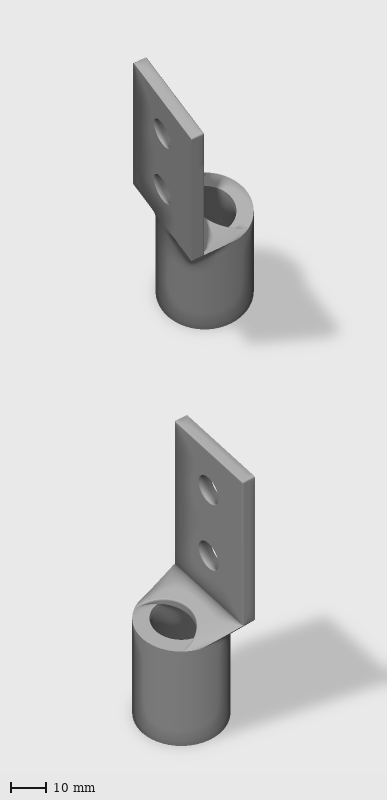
import cadquery as cq
import math

total_height = 96.0
barrel_diameter = 28.0
barrel_height = 36.7
bore_diameter = 18.1

tongue_width = 32.5
tongue_thickness = 4.3
tongue_bottom = 40.3
edge_radius = 0.5

bolt_hole_diameter = 9.5
bolt_spacing = 25.4
lower_bolt_height = 55.6

scallop_radius = 11.2
scallop_center_y = 8.6

barrel_radius = barrel_diameter / 2
front_y = -barrel_radius
back_y = front_y + tongue_thickness
half_width = tongue_width / 2


def barrel_point(angle_from_back):
    """Point on the barrel outline, angle in degrees from +Y towards -X."""
    angle = math.radians(angle_from_back)
    return (-barrel_radius * math.sin(angle), barrel_radius * math.cos(angle))


def mirrored(point):
    return (-point[0], point[1])


def make_tongue():
    """Flat plate standing on the transition."""
    return cq.Workplane("XY", origin=(0, front_y, tongue_bottom)).box(
        tongue_width, tongue_thickness, total_height - tongue_bottom, centered=(True, False, False)
    )


def make_transition():
    """Ruled solid from the barrel circle up to the rectangular end of the tongue."""
    perimeter = 2 * (tongue_width + tongue_thickness)
    back_angle = 360 * half_width / perimeter
    front_angle = 180 - back_angle
    back_left = barrel_point(back_angle)
    front_left = barrel_point(front_angle)
    circle = (
        cq.Workplane("XY", origin=(0, 0, barrel_height))
        .moveTo(*back_left)
        .threePointArc((-barrel_radius, 0), front_left)
        .threePointArc((0, front_y), mirrored(front_left))
        .threePointArc((barrel_radius, 0), mirrored(back_left))
        .threePointArc((0, barrel_radius), back_left)
        .wire()
    )
    rectangle = (
        cq.Workplane("XY", origin=(0, 0, tongue_bottom))
        .moveTo(-half_width, back_y)
        .lineTo(-half_width, front_y)
        .lineTo(half_width, front_y)
        .lineTo(half_width, back_y)
        .close()
    )
    return cq.Workplane(cq.Solid.makeLoft([circle.val(), rectangle.wire().val()], True))


def make_barrel():
    return cq.Workplane("XY").circle(barrel_radius).extrude(barrel_height)


def edges_near(body, *points):
    """The edge of the body nearest to each point, judged by edge centres."""
    selected = body.newObject([])
    for point in points:
        selected = selected.add(body.edges(cq.selectors.NearestToPointSelector(point)))
    return selected


def round_tongue(body):
    """Round the back edges and top corners of the tongue and the inner bend at its foot."""
    mid_y = (front_y + back_y) / 2
    mid_height = (tongue_bottom + total_height) / 2
    return edges_near(
        body,
        (-half_width, mid_y, total_height),
        (half_width, mid_y, total_height),
        (0, back_y, total_height),
        (-half_width, back_y, mid_height),
        (half_width, back_y, mid_height),
        (0, back_y, tongue_bottom),
    ).fillet(edge_radius)


def cut_scallop(body):
    """Clear the back of the transition with a vertical cylinder and round the new rim."""
    scallop = (
        cq.Workplane("XY")
        .center(0, scallop_center_y)
        .circle(scallop_radius)
        .extrude(total_height)
    )
    rim_y = scallop_center_y - scallop_radius
    body = body.cut(scallop)
    return edges_near(body, (0, rim_y, tongue_bottom)).fillet(edge_radius)


def drill_holes(body):
    """Bore the barrel from below and drill the bolt holes through the tongue."""
    bore = cq.Workplane("XY").circle(bore_diameter / 2).extrude(barrel_height)
    upper_bolt_height = lower_bolt_height + bolt_spacing
    bolt_holes = (
        cq.Workplane("XZ", origin=(0, back_y, 0))
        .pushPoints([(0, lower_bolt_height), (0, upper_bolt_height)])
        .circle(bolt_hole_diameter / 2)
        .extrude(tongue_thickness)
    )
    return body.cut(bore).cut(bolt_holes)


body = make_barrel().union(make_transition()).union(make_tongue())
body = round_tongue(body)
body = cut_scallop(body)

body = body.union(make_barrel())
result = drill_holes(body)